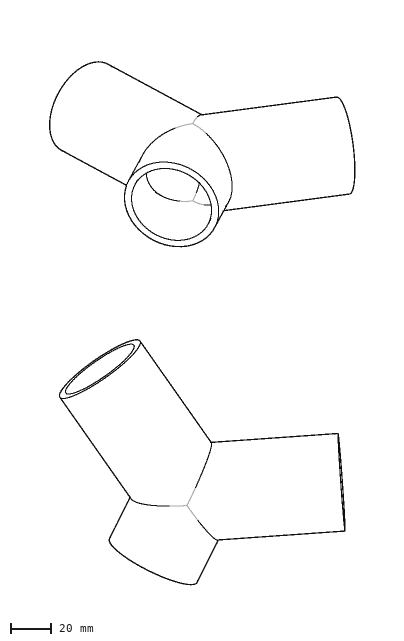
import cadquery as cq
import math

overall_width = 156.1
outer_diameter = 48.2
bore_diameter = 40.9
arm_rise_angle = 30.0

rise = math.radians(arm_rise_angle)
arm_length = (overall_width / 2 - outer_diameter / 2 * math.sin(rise)) / math.cos(rise)
stem_length = arm_length / 2

branches = [
    (arm_rise_angle, arm_length),
    (180.0 - arm_rise_angle, arm_length),
    (270.0, stem_length),
]


def branch_cylinders(diameter):
    """Unite one cylinder per branch, all starting at the common centre."""
    cylinders = cq.Workplane("XY")
    for angle, length in branches:
        cylinder = (
            cq.Workplane("YZ")
            .circle(diameter / 2)
            .extrude(length)
            .rotate((0, 0, 0), (0, 0, 1), angle)
        )
        cylinders = cylinders.add(cylinder)
    return cylinders.combine()


result = branch_cylinders(outer_diameter).cut(branch_cylinders(bore_diameter))